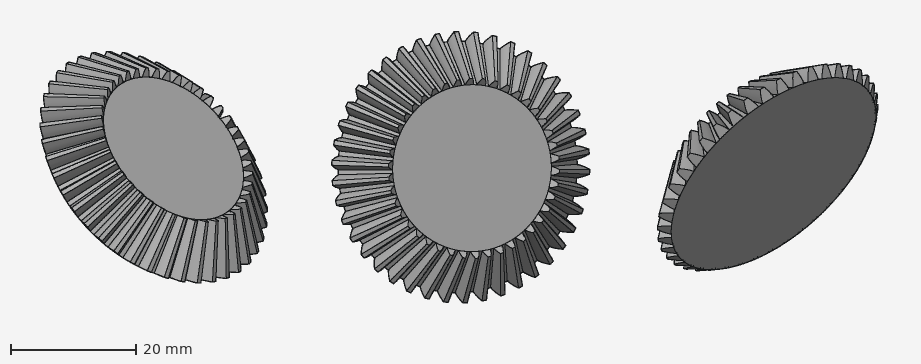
import cadquery as cq
import math

OVERALL_WIDTH = 43.35
TOOTH_COUNT = 42
PITCH_ANGLE = math.radians(45)
PRESSURE_ANGLE = math.radians(20)
FACE_WIDTH = 10.0
AXIS_TILT = 45.0
ADDENDUM_FACTOR = 1.0
DEDENDUM_FACTOR = 1.25
OVERRUN = 0.02
FLANK_POINTS = 9

SIN_PITCH = math.sin(PITCH_ANGLE)
COS_PITCH = math.cos(PITCH_ANGLE)
VIRTUAL_TEETH = TOOTH_COUNT / COS_PITCH
BASE_RATIO = math.cos(PRESSURE_ANGLE)


def involute(angle):
    return math.tan(angle) - angle


def tooth_half_angle(ratio):
    """Half angle of a virtual tooth at a radius given as a ratio of the pitch radius."""
    local_pressure_angle = math.acos(min(1.0, BASE_RATIO / ratio))
    return math.pi / (2 * VIRTUAL_TEETH) + involute(PRESSURE_ANGLE) - involute(local_pressure_angle)


tip_ratio = 1 + 2 * ADDENDUM_FACTOR / VIRTUAL_TEETH
tip_half_width = tip_ratio * VIRTUAL_TEETH / 2 * math.sin(tooth_half_angle(tip_ratio))
tip_radius_factor = TOOTH_COUNT / 2 + ADDENDUM_FACTOR * COS_PITCH
corner_angle = math.pi / TOOTH_COUNT - math.atan(tip_half_width / tip_radius_factor)
tip_radius = OVERALL_WIDTH / 2 / math.cos(corner_angle)
module = tip_radius / tip_radius_factor

pitch_radius = module * TOOTH_COUNT / 2
virtual_pitch_radius = pitch_radius / COS_PITCH
cone_distance = pitch_radius / SIN_PITCH
addendum = ADDENDUM_FACTOR * module
dedendum = DEDENDUM_FACTOR * module
small_end_scale = 1 - FACE_WIDTH / cone_distance


def cone_point(height, scale):
    """(radius, z) at a height above the pitch cone; the cone apex is the origin."""
    radius = cone_distance * SIN_PITCH + height * COS_PITCH
    depth = cone_distance * COS_PITCH - height * SIN_PITCH
    return (radius * scale, -depth * scale)


def revolved_blank(height):
    """Solid of revolution whose side lies at a height above the pitch cone.

    Its flat ends carry the root circles, and sloped ends follow the back cones.
    """
    large_root = cone_point(-dedendum, 1)
    small_root = cone_point(-dedendum, small_end_scale)
    outline = cq.Workplane("XZ").moveTo(0, large_root[1]).lineTo(*large_root)
    if height > -dedendum:
        outline = outline.lineTo(*cone_point(height, 1))
        outline = outline.lineTo(*cone_point(height, small_end_scale))
    outline = outline.lineTo(*small_root).lineTo(0, small_root[1]).close()
    return outline.revolve(360, (0, 0, 0), (0, 1, 0))


def tooth_section(scale):
    """Closed involute profile, square to the pitch cone on the +X side."""
    radius, z = cone_point(0, scale)
    plane = cq.Plane(origin=(radius, 0, z), xDir=(0, 1, 0), normal=(SIN_PITCH, 0, -COS_PITCH))
    top_ratio = tip_ratio + OVERRUN
    right_flank = []
    for index in range(FLANK_POINTS):
        ratio = BASE_RATIO + (top_ratio - BASE_RATIO) * index / (FLANK_POINTS - 1)
        half_angle = tooth_half_angle(ratio)
        across = virtual_pitch_radius * ratio * math.sin(half_angle)
        up = virtual_pitch_radius * (ratio * math.cos(half_angle) - 1)
        right_flank.append((across * scale, up * scale))
    left_flank = [(-across, up) for across, up in reversed(right_flank)]
    profile = cq.Workplane(plane).moveTo(*right_flank[0]).spline(right_flank[1:], includeCurrent=True)
    profile = profile.lineTo(*left_flank[0]).spline(left_flank[1:], includeCurrent=True).close()
    return profile.val()


def trimmed_tooth():
    """One tooth tapering toward the cone apex, trimmed to the tip cone and both back cones."""
    sections = [tooth_section(1 + OVERRUN), tooth_section(small_end_scale - OVERRUN)]
    raw_tooth = cq.Solid.makeLoft(sections, True)
    return revolved_blank(addendum).intersect(cq.Workplane(raw_tooth)).val()


def bevel_gear():
    """Gear on the Z axis, narrowing upward to the cone apex at the origin."""
    tooth = trimmed_tooth()
    teeth = [
        tooth.rotate(cq.Vector(0, 0, 0), cq.Vector(0, 0, 1), index * 360 / TOOTH_COUNT)
        for index in range(TOOTH_COUNT)
    ]
    root_body = revolved_blank(-dedendum).val()
    gear = root_body.fuse(*teeth).clean()
    return cq.Workplane(gear).solids()


result = bevel_gear().rotate((0, 0, 0), (0, 1, 0), AXIS_TILT)